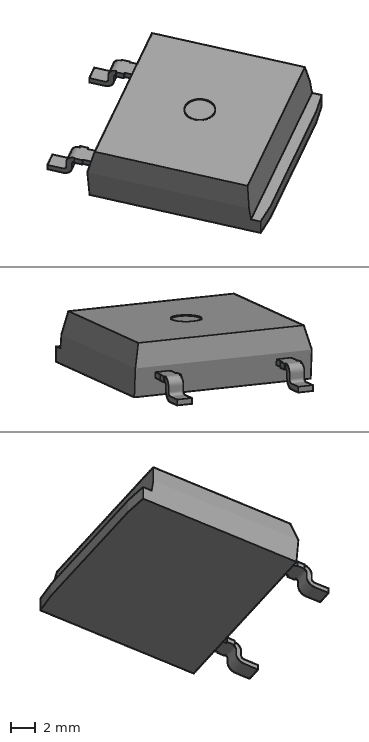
import cadquery as cq

total_length = 19.0
width = 15.9
height = 4.43

parting_z = 2.45
bottom_left_x = 4.2
parting_left_x = 4.0
top_left_x = 4.48
top_right_x = 17.54
body_right_x = 18.0
top_side_inset = 0.5

tab_thickness = 1.27
tab_corner_setback = 0.19
tab_corner_length = 2.0

mark_diameter = 2.5
mark_depth = 0.1
mark_x = (top_left_x + top_right_x) / 2

lead_thickness = 0.5
lead_width = 1.33
lead_y = 5.45
lead_top_z = 1.95
foot_bend_x = 1.33
foot_inner_radius = 0.28
shoulder_inner_radius = 0.2
shoulder_length = 0.7
shoulder_outer_step = 0.08
shoulder_inner_step = 0.15
lead_embedding = 0.95

riser_left_x = foot_bend_x + foot_inner_radius
foot_outer_radius = foot_inner_radius + lead_thickness
shoulder_outer_radius = shoulder_inner_radius + lead_thickness
shoulder_x = riser_left_x + shoulder_outer_radius
lead_bottom_z = lead_top_z - lead_thickness


def make_body():
    """Side profile extruded across the width, with sloping upper flanks."""
    body = (
        cq.Workplane("XZ")
        .moveTo(bottom_left_x, 0)
        .lineTo(body_right_x, 0)
        .lineTo(body_right_x, tab_thickness)
        .lineTo(top_right_x, height)
        .lineTo(top_left_x, height)
        .lineTo(parting_left_x, parting_z)
        .close()
        .extrude(width / 2, both=True)
    )
    half_width = width / 2
    flanks = (
        cq.Workplane("YZ")
        .moveTo(-half_width, 0)
        .lineTo(half_width, 0)
        .lineTo(half_width, parting_z)
        .lineTo(half_width - top_side_inset, height)
        .lineTo(top_side_inset - half_width, height)
        .lineTo(-half_width, parting_z)
        .close()
        .extrude(total_length)
    )
    mark = (
        cq.Workplane("XY", origin=(mark_x, 0, height - mark_depth))
        .circle(mark_diameter / 2)
        .extrude(mark_depth)
    )
    return body.intersect(flanks).cut(mark)


def make_tab():
    """Full-width plate whose outer edge tapers slightly at both corners."""
    half_width = width / 2
    straight_half = half_width - tab_corner_length
    corner_x = total_length - tab_corner_setback
    return (
        cq.Workplane("XY")
        .moveTo(mark_x, -half_width)
        .lineTo(corner_x, -half_width)
        .lineTo(total_length, -straight_half)
        .lineTo(total_length, straight_half)
        .lineTo(corner_x, half_width)
        .lineTo(mark_x, half_width)
        .close()
        .extrude(tab_thickness)
    )


def make_lead(side):
    """S-bent strip with a wider shoulder; side is +1 or -1 along Y."""
    embedded_x = bottom_left_x + lead_embedding
    strip = (
        cq.Workplane("XZ", origin=(0, side * lead_y, 0))
        .lineTo(foot_bend_x, 0)
        .radiusArc((foot_bend_x + foot_outer_radius, foot_outer_radius), -foot_outer_radius)
        .lineTo(riser_left_x + lead_thickness, lead_bottom_z - shoulder_inner_radius)
        .radiusArc((shoulder_x, lead_bottom_z), shoulder_inner_radius)
        .lineTo(embedded_x, lead_bottom_z)
        .lineTo(embedded_x, lead_top_z)
        .lineTo(shoulder_x, lead_top_z)
        .radiusArc((riser_left_x, lead_top_z - shoulder_outer_radius), -shoulder_outer_radius)
        .lineTo(riser_left_x, foot_outer_radius)
        .radiusArc((foot_bend_x, lead_thickness), foot_inner_radius)
        .lineTo(0, lead_thickness)
        .close()
        .extrude(lead_width / 2, both=True)
    )
    shoulder_width = lead_width + shoulder_outer_step + shoulder_inner_step
    shoulder_y = lead_y + (shoulder_outer_step - shoulder_inner_step) / 2
    shoulder = cq.Workplane("XY").box(
        shoulder_length, shoulder_width, lead_thickness, centered=(False, True, False)
    ).translate((shoulder_x, side * shoulder_y, lead_bottom_z))
    return strip.union(shoulder)


result = make_body().union(make_tab())
for lead_side in (-1, 1):
    result = result.union(make_lead(lead_side))